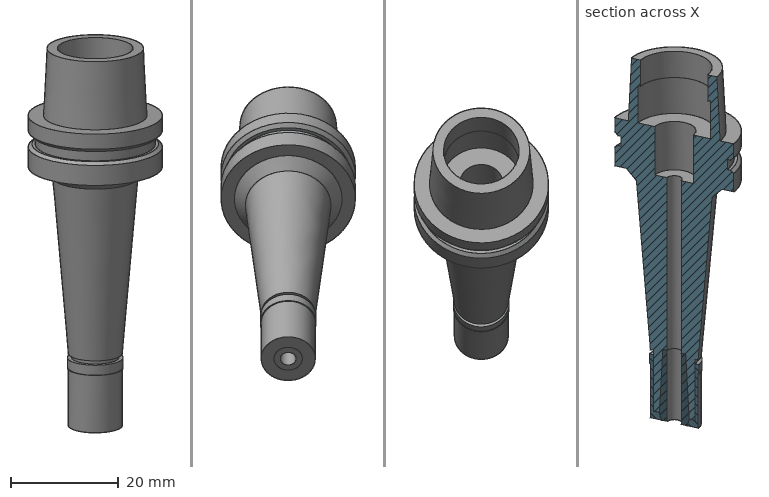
import cadquery as cq

overall_length = 73.0
nut_shoulder_z = 11.2
nut_top_z = 13.15
cone_bottom_z = 13.95
cone_top_z = 48.0
flange_bottom_z = 50.1
groove_bottom_z = 53.95
groove_top_z = 57.1
flange_top_z = 60.0

flange_radius = 12.5
groove_radius = 11.2
groove_lip_radius = 11.75
groove_upper_flare_height = 0.65
groove_lower_flare_height = 0.5
groove_root_top_z = groove_top_z - groove_upper_flare_height
groove_root_bottom_z = groove_bottom_z + groove_lower_flare_height

shank_base_radius = 9.6
shank_top_radius = 9.0

cone_top_radius = 7.95
cone_bottom_radius = 5.05
neck_radius = 4.4
collar_cone_radius = cone_top_radius + flange_bottom_z - cone_top_z

socket_radius = 7.0
socket_lip_depth = 5.4
socket_lip_z = overall_length - socket_lip_depth
undercut_radius = 7.5
well_radius = 4.0
through_radius = 1.45

nut_radius = 5.05
nut_collar_radius = 5.2
nut_end_thickness = 1.45

collet_length = 14.6
collet_top_radius = 2.3
collet_wide_radius = 3.1
collet_end_radius = 2.6


def turned(points):
    """Turn a closed (radius, height) outline about the Z axis."""
    outline = [(-radius, height) for radius, height in points]
    return cq.Workplane("YZ").polyline(outline).close().revolve(360, (0, 0), (0, 1))


def collet_envelope():
    """Double cone of the collet, widest where the nut's end wall meets the holder's nose."""
    return turned([
        (0, 0),
        (collet_end_radius, 0),
        (collet_wide_radius, nut_end_thickness),
        (collet_top_radius, collet_length),
        (0, collet_length),
    ])


def through_hole():
    """Straight hole along the whole axis, shared by the holder and the collet."""
    return cq.Workplane("XY").circle(through_radius).extrude(overall_length)


def make_holder():
    """Shank, grooved flange and slim cone, ending in the nose that sits inside the nut."""
    outside = turned([
        (0, nut_end_thickness),
        (neck_radius, nut_end_thickness),
        (neck_radius, cone_bottom_z),
        (cone_bottom_radius, cone_bottom_z),
        (cone_top_radius, cone_top_z),
        (collar_cone_radius, flange_bottom_z),
        (flange_radius, flange_bottom_z),
        (flange_radius, groove_bottom_z),
        (groove_lip_radius, groove_root_bottom_z),
        (groove_radius, groove_root_bottom_z),
        (groove_radius, groove_root_top_z),
        (groove_lip_radius, groove_root_top_z),
        (flange_radius, groove_top_z),
        (flange_radius, flange_top_z),
        (shank_base_radius, flange_top_z),
        (shank_top_radius, overall_length),
        (0, overall_length),
    ])
    socket = turned([
        (0, flange_bottom_z),
        (well_radius, flange_bottom_z),
        (well_radius, flange_top_z),
        (undercut_radius, flange_top_z),
        (undercut_radius, socket_lip_z),
        (socket_radius, socket_lip_z),
        (socket_radius, overall_length),
        (0, overall_length),
    ])
    return outside.cut(socket).cut(through_hole()).cut(collet_envelope())


def make_nut():
    """Shouldered sleeve around the nose, with an end wall that holds the collet."""
    outside = turned([
        (0, 0),
        (nut_radius, 0),
        (nut_radius, nut_shoulder_z),
        (nut_collar_radius, nut_shoulder_z),
        (nut_collar_radius, nut_top_z),
        (0, nut_top_z),
    ])
    nose_recess = turned([
        (0, nut_end_thickness),
        (neck_radius, nut_end_thickness),
        (neck_radius, nut_top_z),
        (0, nut_top_z),
    ])
    return outside.cut(nose_recess).cut(collet_envelope())


def make_collet():
    """Double-cone sleeve seated in the nose and the nut's end wall."""
    return collet_envelope().cut(through_hole())


holder = make_holder()
nut = make_nut()
collet = make_collet()

result = cq.Compound.makeCompound([holder.val(), nut.val(), collet.val()])